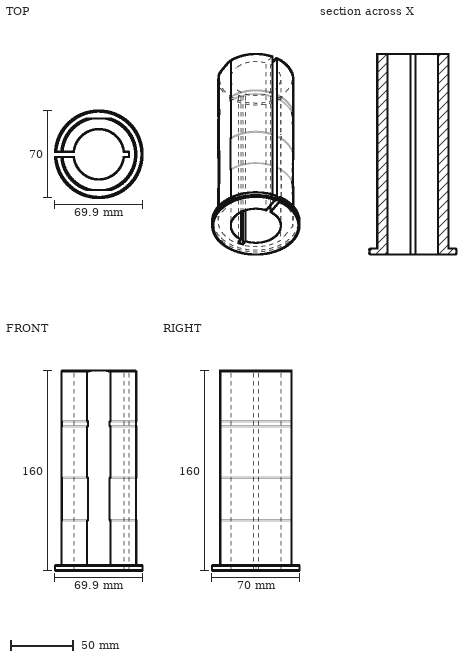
import cadquery as cq

TOTAL_HEIGHT = 160.0
BODY_DIAMETER = 60.0
BORE_DIAMETER = 40.0
EDGE_CHAMFER = 1.0

COLLAR_DIAMETER = 70.0
COLLAR_HEIGHT = 5.0

FLAT_SPACING = 57.0

RELIEF_DEPTH = 0.25
RELIEF_TAPER = 1.0
RELIEF_BANDS = ((40.0, 75.0), (115.0, 120.0))

SPLIT_WIDTH = 4.0
KEYWAY_WIDTH = 4.0
KEYWAY_REACH = 24.0


def make_body():
    """Solid cylinder with a chamfered top edge."""
    body = cq.Workplane("XY").circle(BODY_DIAMETER / 2).extrude(TOTAL_HEIGHT)
    return body.faces(">Z").edges().chamfer(EDGE_CHAMFER)


def make_relief_band(bottom, top):
    """Ring that thins the body between two heights, tapering out at both ends."""
    body_radius = BODY_DIAMETER / 2
    relief_radius = body_radius - RELIEF_DEPTH
    outside_radius = body_radius + RELIEF_DEPTH
    return (
        cq.Workplane("XZ")
        .moveTo(outside_radius, bottom)
        .lineTo(body_radius, bottom)
        .lineTo(relief_radius, bottom + RELIEF_TAPER)
        .lineTo(relief_radius, top - RELIEF_TAPER)
        .lineTo(body_radius, top)
        .lineTo(outside_radius, top)
        .close()
        .revolve(360, (0, 0, 0), (0, 1, 0))
    )


def make_flats_envelope():
    """Slab whose two Y faces form the flats of the body."""
    return cq.Workplane("XY").box(
        BODY_DIAMETER, FLAT_SPACING, TOTAL_HEIGHT, centered=(True, True, False)
    )


def make_collar():
    """Disc at the foot, chamfered on both rims."""
    collar = cq.Workplane("XY").circle(COLLAR_DIAMETER / 2).extrude(COLLAR_HEIGHT)
    return collar.faces("<Z or >Z").edges().chamfer(EDGE_CHAMFER)


def make_bore():
    """Full-height cutter for the central bore."""
    return cq.Workplane("XY").circle(BORE_DIAMETER / 2).extrude(TOTAL_HEIGHT)


def make_radial_slot(width, reach):
    """Full-height cutter from the axis outwards; a negative reach points to -X."""
    return (
        cq.Workplane("XY")
        .center(reach / 2, 0)
        .rect(abs(reach), width)
        .extrude(TOTAL_HEIGHT)
    )


body = make_body()
for band_bottom, band_top in RELIEF_BANDS:
    body = body.cut(make_relief_band(band_bottom, band_top))
body = body.intersect(make_flats_envelope())

result = (
    body.union(make_collar())
    .cut(make_bore())
    .cut(make_radial_slot(SPLIT_WIDTH, -COLLAR_DIAMETER))
    .cut(make_radial_slot(KEYWAY_WIDTH, KEYWAY_REACH))
)